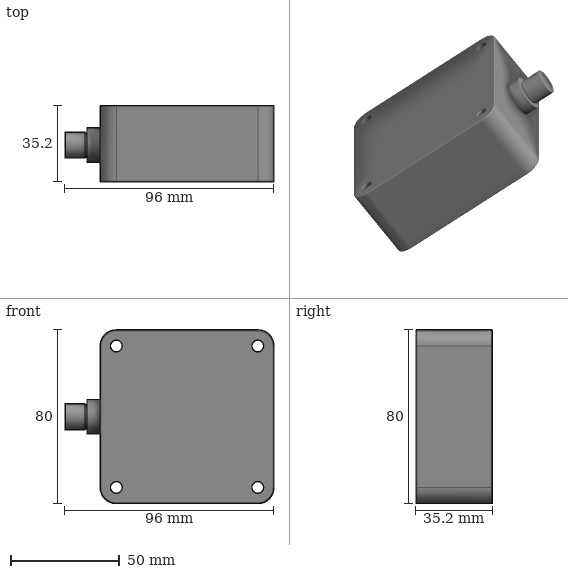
import cadquery as cq

overall_length = 96.0
box_side = 80.0
box_depth = 35.2
corner_radius = 7.5
edge_round = 0.5

hole_diameter = 5.3
hole_spacing = box_side - 2 * corner_radius

connector_length = overall_length - box_side
connector_y = -0.7
collar_length = 6.0
collar_diameter = 16.0
plug_diameter = 12.0
neck_length = 0.9
neck_diameter = 11.1
plug_length = connector_length - collar_length - neck_length


def make_box():
    """Rounded box centred on the origin, with softened front and back rims."""
    box = cq.Workplane("XY").box(box_side, box_depth, box_side)
    box = box.edges("|Y").fillet(corner_radius)
    return box.faces("<Y or >Y").edges().fillet(edge_round)


def make_holes():
    """Four cylinders running through the full depth of the box."""
    return (
        cq.Workplane("XZ")
        .rect(hole_spacing, hole_spacing, forConstruction=True)
        .vertices()
        .circle(hole_diameter / 2)
        .extrude(box_depth / 2, both=True)
    )


def make_connector():
    """Collar, narrow neck and plug stacked outward along -X."""
    return (
        cq.Workplane("YZ", origin=(-box_side / 2, connector_y, 0))
        .circle(collar_diameter / 2)
        .extrude(-collar_length)
        .faces("<X")
        .workplane()
        .circle(neck_diameter / 2)
        .extrude(neck_length)
        .faces("<X")
        .workplane()
        .circle(plug_diameter / 2)
        .extrude(plug_length)
    )


result = make_box().cut(make_holes()).union(make_connector())